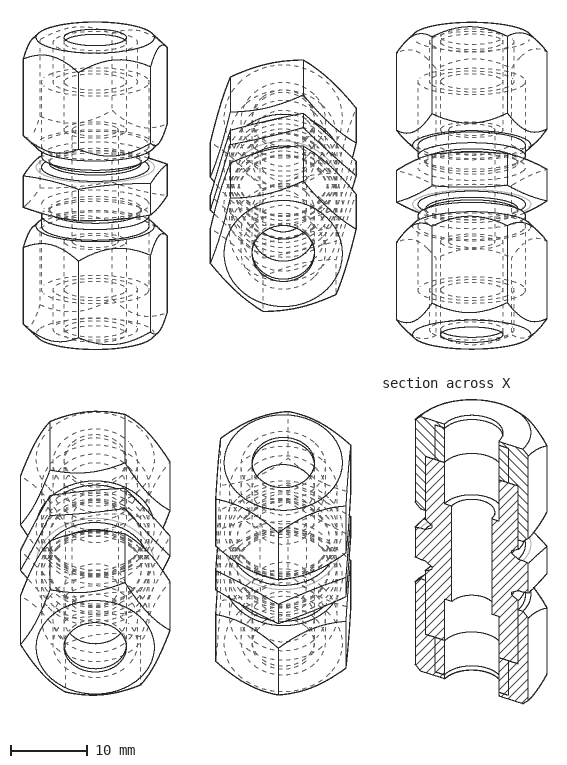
import cadquery as cq
import math


fitting_length = 40.0
across_flats = 17.0
face_circle_diameter = 15.4

body_hex_height = 5.0
body_hex_chamfer_angle = 10.0
thread_diameter = 14.0
groove_diameter = 12.0
groove_end_z = 4.0
groove_taper_angle = 30.0
body_end_z = 14.0
through_bore_diameter = 6.0
tube_diameter = 8.1
tube_stop_z = 7.5

nut_start_z = 5.45
nut_end_z = fitting_length / 2
nut_chamfer_angle = 45.0
nut_bore_diameter = tube_diameter
nut_lip_thickness = 0.7

ferrule_diameter = 11.0
ferrule_end_z = nut_end_z - nut_lip_thickness

SIDES = (1, -1)


def cylinder(diameter, start_z, end_z):
    """Cylinder on the Z axis between two heights."""
    return cq.Workplane("XY").workplane(offset=start_z).circle(diameter / 2).extrude(end_z - start_z)


def chamfered_hexagon(start_z, end_z, chamfer_angle):
    """Hexagonal prism with corners on the X axis and conical chamfers at both ends."""
    corner_radius = across_flats / math.sqrt(3)
    face_radius = face_circle_diameter / 2
    chamfer_height = (corner_radius - face_radius) * math.tan(math.radians(chamfer_angle))
    prism = (
        cq.Workplane("XY")
        .workplane(offset=start_z)
        .polygon(6, 2 * corner_radius)
        .extrude(end_z - start_z)
    )
    envelope = (
        cq.Workplane("XZ")
        .moveTo(0, start_z)
        .lineTo(face_radius, start_z)
        .lineTo(corner_radius, start_z + chamfer_height)
        .lineTo(corner_radius, end_z - chamfer_height)
        .lineTo(face_radius, end_z)
        .lineTo(0, end_z)
        .close()
        .revolve(360, (0, 0, 0), (0, 1, 0))
    )
    return prism.intersect(envelope)


def on_side(solid, side):
    """The upper-end solid itself, or its half turn about X for the lower end."""
    return solid if side > 0 else solid.rotate((0, 0, 0), (1, 0, 0), 180)


def make_spigot():
    """Upper threaded end of the body with the V groove next to the hexagon."""
    hex_end_z = body_hex_height / 2
    thread_radius = thread_diameter / 2
    groove_radius = groove_diameter / 2
    taper_height = (thread_radius - groove_radius) * math.tan(math.radians(groove_taper_angle))
    return (
        cq.Workplane("XZ")
        .lineTo(thread_radius, 0)
        .lineTo(thread_radius, hex_end_z)
        .lineTo(groove_radius, hex_end_z + taper_height)
        .lineTo(groove_radius, groove_end_z - taper_height)
        .lineTo(thread_radius, groove_end_z)
        .lineTo(thread_radius, body_end_z)
        .lineTo(0, body_end_z)
        .close()
        .revolve(360, (0, 0, 0), (0, 1, 0))
    )


def make_body():
    """Central hexagon with two threaded ends, a through bore and two tube sockets."""
    body = chamfered_hexagon(-body_hex_height / 2, body_hex_height / 2, body_hex_chamfer_angle)
    spigot = make_spigot()
    socket = cylinder(tube_diameter, tube_stop_z, body_end_z)
    for side in SIDES:
        body = body.union(on_side(spigot, side))
    for side in SIDES:
        body = body.cut(on_side(socket, side))
    return body.cut(cylinder(through_bore_diameter, -body_end_z, body_end_z))


def make_nut(side):
    """Hexagonal nut with a thread bore, a ferrule recess and a tube hole."""
    nut = chamfered_hexagon(nut_start_z, nut_end_z, nut_chamfer_angle)
    nut = nut.cut(cylinder(thread_diameter, nut_start_z, body_end_z))
    nut = nut.cut(cylinder(ferrule_diameter, body_end_z, ferrule_end_z))
    nut = nut.cut(cylinder(nut_bore_diameter, ferrule_end_z, nut_end_z))
    return on_side(nut, side)


def make_ferrule(side):
    """Plain ring between the end of the body and the lip of the nut."""
    ring = cylinder(ferrule_diameter, body_end_z, ferrule_end_z)
    ring = ring.cut(cylinder(tube_diameter, body_end_z, ferrule_end_z))
    return on_side(ring, side)


body = make_body()
nuts = [make_nut(side) for side in SIDES]
ferrules = [make_ferrule(side) for side in SIDES]

result = cq.Compound.makeCompound(
    [body.val(), *[nut.val() for nut in nuts], *[ferrule.val() for ferrule in ferrules]]
)